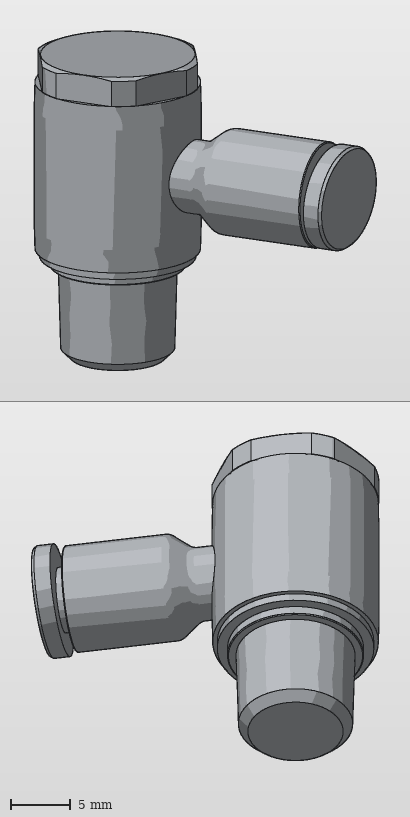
import cadquery as cq
import math

total_height = 26.5
total_length = 28.5

body_diameter = 14.0
body_radius = body_diameter / 2
body_bottom = 9.5
body_top = 24.08
straight_bottom = 11.49
straight_top = 21.97
end_taper = 0.05
body_end_radius = body_radius - end_taper

ring_radius = 6.55
ring_bottom = 8.8
collar_radius = 5.7
collar_bottom = 8.0
edge_chamfer = 0.09

shank_top_radius = 5.0
shank_bottom_radius = 4.8
tip_radius = 4.0
tip_height = 0.8

hex_across_flats = 13.02
hex_corner_radius = body_radius
hex_face_radius = 6.47
hex_chamfer_height = 0.2

branch_height = 16.75
neck_radius = 3.1
branch_radius = 4.5
shoulder_start = 8.38
shoulder_end = 10.2
shoulder_fillet = 1.0
branch_end = 19.1
stem_radius = 2.76

button_start = 19.9
button_end = total_length - body_radius
button_half_width = 5.42
button_half_height = 4.33
button_chamfer_length = 0.25
button_chamfer_depth = 0.17


def make_body():
    """Thread shank, collar, ring and body, turned about Z."""
    profile = [
        (0, 0),
        (tip_radius, 0),
        (shank_bottom_radius, tip_height),
        (shank_top_radius, collar_bottom),
        (collar_radius - edge_chamfer, collar_bottom),
        (collar_radius, collar_bottom + edge_chamfer),
        (collar_radius, ring_bottom),
        (ring_radius, ring_bottom),
        (ring_radius, body_bottom),
        (body_end_radius, body_bottom),
        (body_radius, straight_bottom),
        (body_radius, straight_top),
        (body_end_radius, body_top),
        (0, body_top),
    ]
    return cq.Workplane("XZ").polyline(profile).close().revolve(360, (0, 0), (0, 1))


def make_head():
    """Hexagon with two corners on the X axis, trimmed by a chamfered cylinder."""
    head_height = total_height - body_top
    across_corners = hex_across_flats / math.cos(math.radians(30))
    hexagon = cq.Workplane("XY").workplane(offset=body_top).polygon(6, across_corners).extrude(head_height)
    blank = (
        cq.Workplane("XY")
        .workplane(offset=body_top)
        .circle(hex_corner_radius)
        .extrude(head_height)
        .faces(">Z")
        .chamfer(hex_chamfer_height, hex_corner_radius - hex_face_radius)
    )
    return hexagon.intersect(blank)


def make_branch():
    """Neck, filleted conical shoulder, tube socket and stem, turned about the branch axis."""
    slope = math.atan2(branch_radius - neck_radius, shoulder_end - shoulder_start)
    tangent_length = shoulder_fillet * math.tan(slope / 2)
    along = tangent_length * math.cos(slope)
    across = tangent_length * math.sin(slope)
    arc_along = shoulder_fillet * math.sin(slope / 2)
    arc_across = shoulder_fillet * (1 - math.cos(slope / 2))
    hollow_start = shoulder_start - tangent_length
    crown_end = shoulder_end + tangent_length
    return (
        cq.Workplane("XZ", origin=(0, 0, branch_height))
        .lineTo(0, neck_radius)
        .lineTo(hollow_start, neck_radius)
        .threePointArc(
            (hollow_start + arc_along, neck_radius + arc_across),
            (shoulder_start + along, neck_radius + across),
        )
        .lineTo(shoulder_end - along, branch_radius - across)
        .threePointArc(
            (crown_end - arc_along, branch_radius - arc_across),
            (crown_end, branch_radius),
        )
        .lineTo(branch_end - edge_chamfer, branch_radius)
        .lineTo(branch_end, branch_radius - edge_chamfer)
        .lineTo(branch_end, stem_radius)
        .lineTo(button_start, stem_radius)
        .lineTo(button_start, 0)
        .close()
        .revolve(360, (0, 0), (1, 0))
    )


def make_button():
    """Elliptical release button with a chamfered outer rim."""
    chamfer_start = button_end - button_chamfer_length
    plate = (
        cq.Workplane("YZ", origin=(button_start, 0, branch_height))
        .ellipse(button_half_width, button_half_height)
        .extrude(chamfer_start - button_start)
    )
    rim = (
        cq.Workplane("YZ", origin=(chamfer_start, 0, branch_height))
        .ellipse(button_half_width, button_half_height)
        .workplane(offset=button_chamfer_length)
        .ellipse(button_half_width - button_chamfer_depth, button_half_height - button_chamfer_depth)
        .loft(ruled=True)
    )
    return plate.union(rim)


result = make_body().union(make_head()).union(make_branch()).union(make_button())